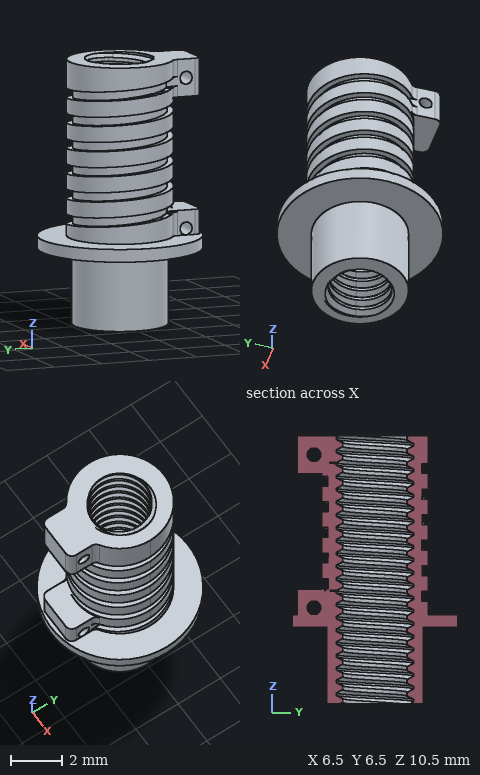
import cadquery as cq
import math

total_height = 10.5
stem_height = 3.0
flange_thickness = 0.5
flange_top = stem_height + flange_thickness

stem_diameter = 3.8
flange_diameter = 6.5
tube_radius = 2.1

groove_pitch = 1.0
groove_width = 0.37
groove_depth = 0.25
groove_start_height = 3.77
groove_start_angle = -70.0
groove_end_angle = 250.0
groove_full_turns = 5

lug_width = 2.0
lug_reach = 3.06
lug_corner_radius = 0.3
upper_lug_height = 1.5
lower_lug_height = 1.0
lug_hole_diameter = 0.5
lug_hole_offset = 2.38
lower_hole_rise = 0.26

bore_radius = 1.25
thread_depth = 0.25
thread_pitch = 0.5
thread_mouth_width = 0.4
thread_root_width = 0.08
thread_top_angle = -10.0

overlap = 0.05


def cylinder(radius, bottom, height):
    return cq.Workplane("XY").workplane(offset=bottom).circle(radius).extrude(height)


def helical_cutter(profile, pitch, turns, bottom, start_angle):
    """Right-handed helical solid whose (r, z) profile is centred on z = 0."""
    height = turns * pitch
    end_angle = math.tau * turns
    helices = [
        cq.Wire.makeHelix(pitch, height, radius).translate(cq.Vector(0, 0, z)) for radius, z in profile
    ]
    faces = []
    for i, helix in enumerate(helices):
        faces += cq.Face.makeRuledSurface(helices[i - 1], helix).Faces()
    for angle, rise in ((0, 0), (end_angle, height)):
        corners = [
            cq.Vector(radius * math.cos(angle), radius * math.sin(angle), z + rise) for radius, z in profile
        ]
        faces.append(cq.Face.makeFromWires(cq.Wire.makePolygon(corners, close=True)))
    solid = cq.Solid.makeSolid(cq.Shell.makeShell(faces)).fix()
    return cq.Workplane(solid).rotate((0, 0, 0), (0, 0, 1), start_angle).translate((0, 0, bottom))


def lug_block(bottom, height):
    """Rectangular lug reaching from inside the tube wall, with rounded outer corners."""
    length = lug_reach - bore_radius
    return (
        cq.Workplane("XY")
        .workplane(offset=bottom)
        .center(0, -(bore_radius + length / 2))
        .rect(lug_width, length)
        .extrude(height)
        .edges("|Z and <Y")
        .fillet(lug_corner_radius)
    )


def lug_root_fillets(bottom, height):
    """Concave blends, tangent to the lug sides and to the tube."""
    half_width = lug_width / 2
    centre_x = half_width + lug_corner_radius
    centre_distance = tube_radius + lug_corner_radius
    centre_y = -math.sqrt(centre_distance**2 - centre_x**2)
    tube_x = centre_x * tube_radius / centre_distance
    tube_y = centre_y * tube_radius / centre_distance
    middle_angle = (math.pi + math.atan2(-centre_y, -centre_x)) / 2
    middle_x = centre_x + lug_corner_radius * math.cos(middle_angle)
    middle_y = centre_y + lug_corner_radius * math.sin(middle_angle)
    inner_y = -(tube_radius - groove_depth)
    right = (
        cq.Workplane("XY")
        .workplane(offset=bottom)
        .moveTo(0, inner_y)
        .lineTo(0, centre_y)
        .lineTo(half_width, centre_y)
        .threePointArc((middle_x, middle_y), (tube_x, tube_y))
        .lineTo(half_width, tube_y)
        .close()
        .extrude(height)
    )
    return right.union(right.mirror("YZ"))


def lug_hole(height):
    return (
        cq.Workplane("YZ")
        .center(-lug_hole_offset, height)
        .circle(lug_hole_diameter / 2)
        .extrude(lug_width, both=True)
    )


def outer_groove():
    turns = groove_full_turns + (groove_end_angle - groove_start_angle) / 360
    inner = tube_radius - groove_depth
    outer = lug_reach
    half = groove_width / 2
    profile = [(inner, -half), (outer, -half), (outer, half), (inner, half)]
    return helical_cutter(profile, groove_pitch, turns, groove_start_height, groove_start_angle)


def thread_turn(bottom):
    """Cutter for one full turn of the thread groove, reaching slightly into the open bore."""
    inner = bore_radius - overlap
    outer = bore_radius + thread_depth
    mouth = thread_mouth_width / 2
    root = thread_root_width / 2
    profile = [(inner, -mouth), (outer, -root), (outer, root), (inner, mouth)]
    return helical_cutter(profile, thread_pitch, 1, bottom, thread_top_angle)


upper_lug_bottom = total_height - upper_lug_height
lugs = [(upper_lug_bottom, upper_lug_height), (flange_top, lower_lug_height)]

body = cylinder(tube_radius, flange_top, total_height - flange_top)
for lug_bottom, lug_height in lugs:
    body = body.union(lug_root_fillets(lug_bottom, lug_height))
body = body.cut(outer_groove())
for lug_bottom, lug_height in lugs:
    body = body.union(lug_block(lug_bottom, lug_height))

for hole_height in (upper_lug_bottom + upper_lug_height / 2, flange_top + lower_hole_rise):
    body = body.cut(lug_hole(hole_height))

body = body.union(cylinder(flange_diameter / 2, stem_height, flange_thickness))
body = body.union(cylinder(stem_diameter / 2, 0, stem_height))

body = body.cut(cylinder(bore_radius, 0, total_height))
turn_count = math.ceil(total_height / thread_pitch) + 2
for turn in range(turn_count):
    body = body.cut(thread_turn(total_height - turn * thread_pitch))

result = body